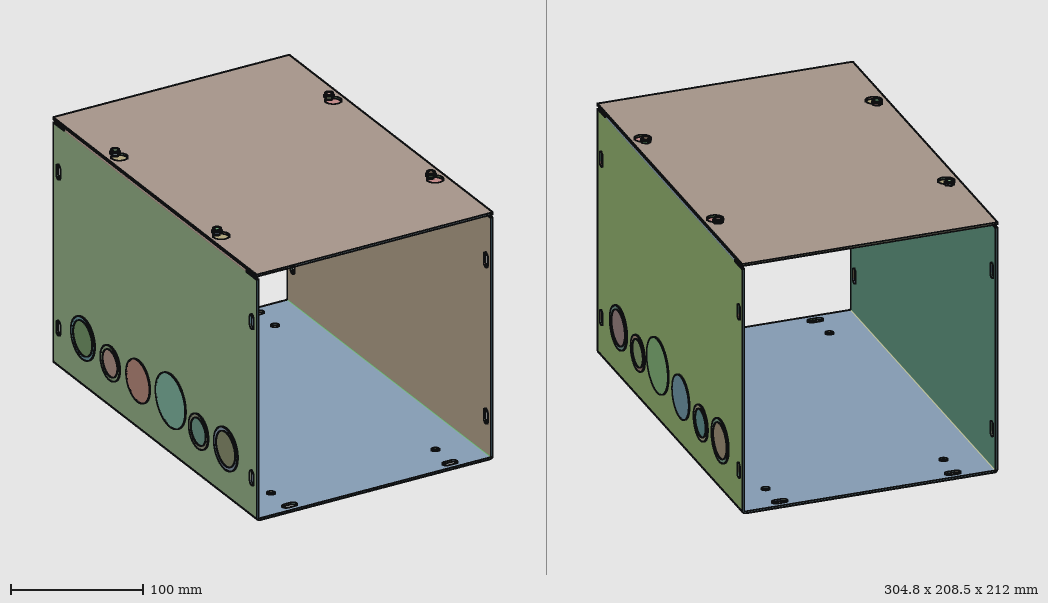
import cadquery as cq
length = 304.8
depth = 206.7
total_depth = 208.5
total_height = 212.0
sheet = 1.8
bend_radius = 2.7
inner_bend_radius = 0.5

head_height = 3.5
hex_height = 1.8
hex_corners = 8.0
cap_diameter = 6.5
cap_height = 0.3
shank_diameter = 4.5
shank_length = 10.5
thread_root_diameter = 4.0
thread_pitch = 1.2
thread_land = thread_pitch / 2
thread_grooves = 4
screw_x = 76.2
screw_y = 93.5

cover_top = total_height - head_height
box_height = cover_top - sheet

flange_width = 17.7
flange_end_gap = 16.0
collar_diameter = 6.5
collar_height = 1.2

keyhole_diameter = 12.8
keyhole_offset = 6.5
keyhole_slot_width = 5.5

slot_length = 12.5
slot_width = 6.5
slot_edge_gap = 7.5
wall_slot_heights = (33.2, 165.5)
floor_slot_y = 70.0
floor_hole_diameter = 6.5
floor_hole_x = 120.0
floor_hole_y = 72.0

knockout_bottom = 23.8
knockout_rise = (total_depth - depth) / 2
knockout_recess = knockout_rise / 2
small, medium, large, extra_large = 22.3, 28.5, 35.0, 44.5
knockouts = [
    (-107.0, large, medium),
    (-66.0, medium, small),
    (-24.5, large, None),
    (24.5, extra_large, None),
    (66.0, medium, small),
    (107.0, large, medium),
]

screw_places = [(x, y) for x in (-screw_x, screw_x) for y in (-screw_y, screw_y)]


def box_along_x(x_length, y_min, y_max, z_min, z_max):
    """Block centred on X."""
    size = (x_length, y_max - y_min, z_max - z_min)
    return cq.Workplane("XY").box(*size, centered=(True, False, False)).translate((0, y_min, z_min))


def make_bent_sheet():
    """Sheet bent into a floor, two walls and two inward flanges."""
    outer = box_along_x(length, -depth / 2, depth / 2, 0, box_height).edges("|X").fillet(bend_radius)
    cavity = (
        box_along_x(length, sheet - depth / 2, depth / 2 - sheet, sheet, box_height - sheet)
        .edges("|X")
        .fillet(inner_bend_radius)
    )
    flange_edge = depth / 2 - flange_width
    opening = box_along_x(length, -flange_edge, flange_edge, box_height - bend_radius, box_height)
    shell = outer.cut(cavity).cut(opening)

    notch = cq.Workplane("XY").box(flange_end_gap, depth, bend_radius, centered=(False, True, False))
    notch = notch.translate((-length / 2, 0, box_height - bend_radius))
    return shell.cut(notch).cut(notch.mirror("YZ"))


def make_slot_cutters():
    slot_x = length / 2 - slot_edge_gap
    wall_slots = (
        cq.Workplane("XZ")
        .pushPoints([(x, z) for x in (-slot_x, slot_x) for z in wall_slot_heights])
        .slot2D(slot_length, slot_width, 90)
        .extrude(depth / 2, both=True)
    )
    floor_slots = (
        cq.Workplane("XY")
        .pushPoints([(x, y) for x in (-slot_x, slot_x) for y in (-floor_slot_y, floor_slot_y)])
        .slot2D(slot_length, slot_width, 90)
        .extrude(sheet)
    )
    return wall_slots, floor_slots


def make_floor_holes():
    return (
        cq.Workplane("XY")
        .rect(2 * floor_hole_x, 2 * floor_hole_y, forConstruction=True)
        .vertices()
        .circle(floor_hole_diameter / 2)
        .extrude(sheet)
    )


def make_knockout(x, outer_diameter, inner_diameter):
    """Raised disc on the -Y wall; a two-stage knockout has a shallow round recess in its face."""
    z = knockout_bottom + outer_diameter / 2
    wall_inside = cq.Workplane("XZ", origin=(x, sheet - depth / 2, z))
    disc = wall_inside.circle(outer_diameter / 2).extrude(sheet + knockout_rise)
    if inner_diameter is not None:
        recess_floor = wall_inside.workplane(offset=sheet + knockout_rise - knockout_recess)
        disc = disc.cut(recess_floor.circle(inner_diameter / 2).extrude(knockout_recess))
    return disc


def make_housing():
    housing = make_bent_sheet()
    for cutter in make_slot_cutters():
        housing = housing.cut(cutter)
    housing = housing.cut(make_floor_holes())
    for knockout in knockouts:
        disc = make_knockout(*knockout)
        housing = housing.union(disc).union(disc.mirror("XZ"))

    collar_bottom = box_height - sheet - collar_height
    places = cq.Workplane("XY").workplane(offset=collar_bottom).pushPoints(screw_places)
    housing = housing.union(places.circle(collar_diameter / 2).extrude(collar_height + sheet))
    return housing.cut(places.circle(shank_diameter / 2).extrude(collar_height + sheet))


def make_keyhole(x, y):
    """Round wide end and a narrow slot that holds the screw at (x, y)."""
    base = cq.Workplane("XY", origin=(x, y, box_height))
    wide_end = base.center(keyhole_offset, 0).circle(keyhole_diameter / 2).extrude(sheet)
    narrow_end = base.circle(keyhole_slot_width / 2).extrude(sheet)
    channel = base.center(keyhole_offset / 2, 0).rect(keyhole_offset, keyhole_slot_width).extrude(sheet)
    return wide_end.union(narrow_end).union(channel)


def make_cover():
    cover = cq.Workplane("XY", origin=(0, 0, box_height)).rect(length, depth).extrude(sheet)
    for x, y in screw_places:
        cover = cover.cut(make_keyhole(x, y))
    return cover


def make_screw(x, y):
    """Hexagon head with a thin cap on a neck, and a shank with a grooved tip as its thread."""
    base = cq.Workplane("XY", origin=(x, y, cover_top))
    screw = base.polygon(6, hex_corners).extrude(hex_height)
    tip = base.workplane(offset=-shank_length)
    screw = screw.union(tip.circle(shank_diameter / 2).extrude(shank_length + head_height))
    cap_bottom = base.workplane(offset=head_height - cap_height)
    screw = screw.union(cap_bottom.circle(cap_diameter / 2).extrude(cap_height))
    for groove in range(thread_grooves):
        groove_bottom = tip.workplane(offset=groove * thread_pitch + thread_land)
        ring = groove_bottom.circle(shank_diameter / 2).circle(thread_root_diameter / 2)
        screw = screw.cut(ring.extrude(thread_pitch - thread_land))
    return screw


housing = make_housing()
cover = make_cover()
screws = [make_screw(x, y) for x, y in screw_places]

result = cq.Compound.makeCompound([housing.val(), cover.val(), *[screw.val() for screw in screws]])